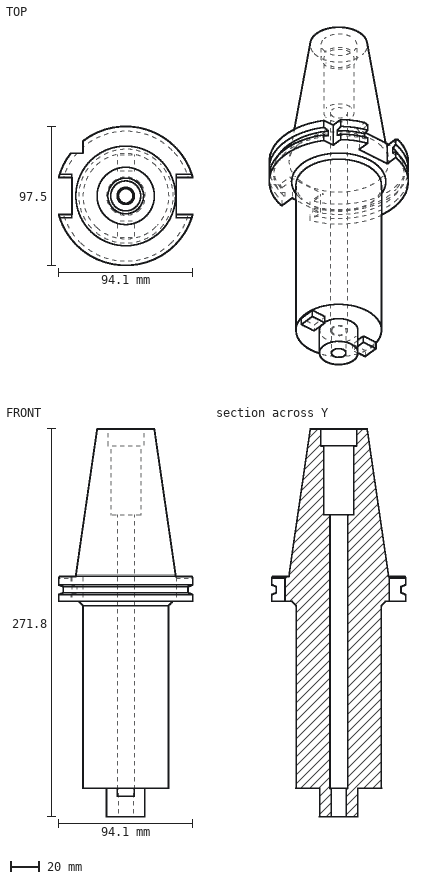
import cadquery as cq

GAUGE_DIAMETER = 69.85
TAPER_LENGTH = 101.75
TAPER_RATIO = 7 / 24
TIP_DIAMETER = GAUGE_DIAMETER - TAPER_LENGTH * TAPER_RATIO

FLANGE_DIAMETER = 97.5
FLANGE_TOP = -1.5
FLANGE_BOTTOM = -19.1
GROOVE_CENTER = -10.9
GROOVE_ROOT_DIAMETER = 91.25
GROOVE_ROOT_WIDTH = 4.2
GROOVE_MOUTH_WIDTH = 6.7

BODY_DIAMETER = 60
COLLAR_HEIGHT = 3
COLLAR_DIAMETER = BODY_DIAMETER + 2 * COLLAR_HEIGHT
TOTAL_REACH = 170
SPIGOT_DIAMETER = 27
SPIGOT_LENGTH = 20
BODY_BOTTOM = SPIGOT_LENGTH - TOTAL_REACH

SLOT_WIDTH = 25.7
SLOT_FLOOR_LEFT = 37.7
SLOT_FLOOR_RIGHT = 35.5
SLOT_CHAMFER_WIDTH = 2.4
SLOT_CHAMFER_DEPTH = 1.4

NOTCH_OFFSET = 30

KEY_WIDTH = 12
KEY_HEIGHT = 5.5
KEY_INNER = 17.5
KEY_OUTER = 29

DRAWBAR_DIAMETER = 25
DRAWBAR_DEPTH = 12
BOLT_HEAD_DIAMETER = 21
BOLT_HEAD_DEPTH = 60
CLEARANCE_DIAMETER = 12
SPIGOT_BORE_DIAMETER = 10.2


def revolved_body():
    """Taper, grooved flange, body and spigot as one revolution about Z."""
    flange_radius = FLANGE_DIAMETER / 2
    groove_root_radius = GROOVE_ROOT_DIAMETER / 2
    root_half = GROOVE_ROOT_WIDTH / 2
    mouth_half = GROOVE_MOUTH_WIDTH / 2
    outline = [
        (0, TAPER_LENGTH),
        (TIP_DIAMETER / 2, TAPER_LENGTH),
        (GAUGE_DIAMETER / 2, 0),
        (GAUGE_DIAMETER / 2, FLANGE_TOP),
        (flange_radius, FLANGE_TOP),
        (flange_radius, GROOVE_CENTER + mouth_half),
        (groove_root_radius, GROOVE_CENTER + root_half),
        (groove_root_radius, GROOVE_CENTER - root_half),
        (flange_radius, GROOVE_CENTER - mouth_half),
        (flange_radius, FLANGE_BOTTOM),
        (COLLAR_DIAMETER / 2, FLANGE_BOTTOM),
        (BODY_DIAMETER / 2, FLANGE_BOTTOM - COLLAR_HEIGHT),
        (BODY_DIAMETER / 2, BODY_BOTTOM),
        (SPIGOT_DIAMETER / 2, BODY_BOTTOM),
        (SPIGOT_DIAMETER / 2, -TOTAL_REACH),
        (0, -TOTAL_REACH),
    ]
    return cq.Workplane("XZ").polyline(outline).close().revolve(360, (0, 0, 0), (0, 1, 0))


def drive_slot(side, floor_distance):
    """Slot cutter through the flange; its walls flare outwards at the top face."""
    half_width = SLOT_WIDTH / 2
    flared_half = half_width + SLOT_CHAMFER_WIDTH
    section = [
        (-half_width, FLANGE_BOTTOM),
        (half_width, FLANGE_BOTTOM),
        (half_width, FLANGE_TOP - SLOT_CHAMFER_DEPTH),
        (flared_half, FLANGE_TOP),
        (-flared_half, FLANGE_TOP),
        (-half_width, FLANGE_TOP - SLOT_CHAMFER_DEPTH),
    ]
    slot_reach = FLANGE_DIAMETER - floor_distance
    return (
        cq.Workplane("YZ", origin=(side * floor_distance, 0, 0))
        .polyline(section)
        .close()
        .extrude(side * slot_reach)
    )


def orientation_notch():
    """Square corner cutter through the full flange height."""
    flange_height = FLANGE_TOP - FLANGE_BOTTOM
    return (
        cq.Workplane("XY", origin=(-NOTCH_OFFSET, NOTCH_OFFSET, FLANGE_BOTTOM))
        .rect(-FLANGE_DIAMETER, FLANGE_DIAMETER, centered=False)
        .extrude(flange_height)
    )


def drive_keys():
    """Pair of keys on the body end face, along -Y and +Y."""
    key_center = (KEY_INNER + KEY_OUTER) / 2
    return (
        cq.Workplane("XY", origin=(0, 0, BODY_BOTTOM))
        .pushPoints([(0, -key_center), (0, key_center)])
        .rect(KEY_WIDTH, KEY_OUTER - KEY_INNER)
        .extrude(-KEY_HEIGHT)
    )


def bore_step(diameter, depth):
    """Cylinder cutter going down from the taper tip."""
    return cq.Workplane("XY", origin=(0, 0, TAPER_LENGTH)).circle(diameter / 2).extrude(-depth)


result = revolved_body()
result = result.cut(drive_slot(-1, SLOT_FLOOR_LEFT))
result = result.cut(drive_slot(1, SLOT_FLOOR_RIGHT))
result = result.cut(orientation_notch())
result = result.union(drive_keys())
result = result.cut(bore_step(DRAWBAR_DIAMETER, DRAWBAR_DEPTH))
result = result.cut(bore_step(BOLT_HEAD_DIAMETER, BOLT_HEAD_DEPTH))
result = result.cut(bore_step(CLEARANCE_DIAMETER, TAPER_LENGTH - BODY_BOTTOM))
result = result.cut(bore_step(SPIGOT_BORE_DIAMETER, TAPER_LENGTH + TOTAL_REACH))